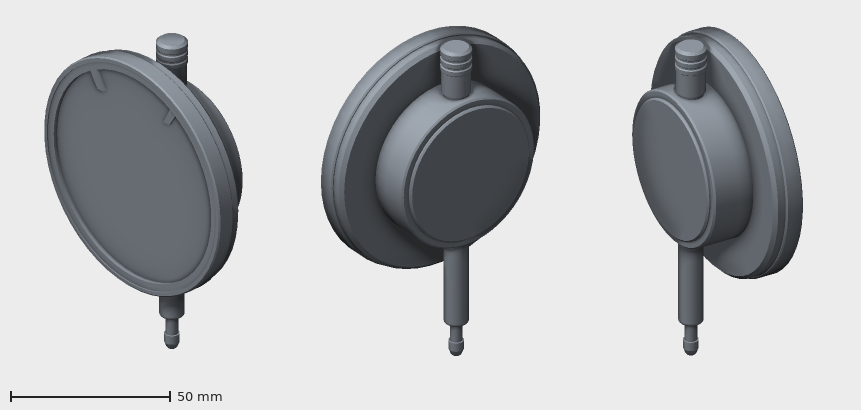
import cadquery as cq
import math


bezel_diameter = 80.5
bezel_back = 6.0
bezel_chamfer = 0.5
flange_diameter = 79.0
flange_back = 10.0
flange_chamfer = 1.2
body_diameter = 52.0
body_back = 24.0
body_chamfer = 0.6
lid_diameter = 46.8
lid_chamfer = 0.6
case_depth = 25.0

glass_seat_diameter = 77.2
glass_seat_depth = 0.5
dial_diameter = 71.9
dial_depth = 1.9

mark_angle = 30.2
mark_width_angle = 4.5
mark_inner_height = 25.2
left_mark_depth = glass_seat_depth
right_mark_depth = 1.1

plunger_y = (flange_back + case_depth) / 2
crown_top = 43.0
overall_height = 112.0
tip_bottom = crown_top - overall_height

crown_bottom = 27.0
crown_radius = 4.7
crown_neck_radius = 4.1
ring_radius = 5.0
ring_count = 3
ring_pitch = 2.7
ring_height = 1.5
ring_slope = ring_radius - crown_radius
top_ring_bottom = 40.4
crown_chamfer_width = 1.0
crown_chamfer_height = 0.8

stem_radius = 4.0
stem_bottom = -56.9
stem_fillet = 1.2
spindle_radius = 2.0
spindle_bottom = -62.6
groove_radius = 1.9
collar_radius = 2.5
collar_top = -63.3
collar_bottom = -66.3
point_radius = 1.8
point_top = -68.0


def disc(diameter, front, back):
    """Disc about the dial axis between two depths."""
    return (
        cq.Workplane("XZ", origin=(0, front, 0))
        .circle(diameter / 2)
        .extrude(front - back)
    )


def make_case():
    bezel = disc(bezel_diameter, 0, bezel_back).edges().chamfer(bezel_chamfer)
    flange = disc(flange_diameter, bezel_chamfer, flange_back).faces(">Y").chamfer(flange_chamfer)
    body = disc(body_diameter, bezel_back, body_back).faces(">Y").chamfer(body_chamfer)
    lid = disc(lid_diameter, bezel_back, case_depth).faces(">Y").chamfer(lid_chamfer)
    return bezel.union(flange).union(body).union(lid)


def make_dial_recess():
    seat = disc(glass_seat_diameter, 0, glass_seat_depth)
    return seat.union(disc(dial_diameter, 0, dial_depth))


def make_mark(side, front):
    """Radial bar standing on the dial up to the depth front; side is -1 (left) or 1 (right)."""
    reach = (dial_diameter + glass_seat_diameter) / 4
    corners = []
    for edge in (-0.5, 0.5):
        angle = math.radians(mark_angle + edge * mark_width_angle)
        inner = (side * mark_inner_height * math.tan(angle), mark_inner_height)
        outer = (side * reach * math.sin(angle), reach * math.cos(angle))
        corners.extend([inner, outer] if edge < 0 else [outer, inner])
    return (
        cq.Workplane("XZ", origin=(0, front, 0))
        .polyline(corners)
        .close()
        .extrude(front - bezel_back)
    )


def revolve_about_plunger(profile):
    """Close a half profile of (radius, height) and turn it about the plunger axis."""
    return profile.close().revolve(360, (0, 0), (0, 1))


def plunger_sketch():
    return cq.Workplane("XZ", origin=(0, plunger_y, 0))


def make_crown():
    outline = [
        (0, 0),
        (crown_neck_radius, 0),
        (crown_neck_radius, crown_bottom),
        (crown_radius, crown_bottom),
    ]
    for index in range(ring_count):
        bottom = top_ring_bottom + (index - ring_count + 1) * ring_pitch
        outline.append((crown_radius, bottom - ring_slope))
        outline.append((ring_radius, bottom))
        if index < ring_count - 1:
            outline.append((ring_radius, bottom + ring_height))
            outline.append((crown_radius, bottom + ring_height + ring_slope))
    outline.append((ring_radius, crown_top - crown_chamfer_height))
    outline.append((ring_radius - crown_chamfer_width, crown_top))
    outline.append((0, crown_top))
    return revolve_about_plunger(plunger_sketch().polyline(outline))


def make_plunger():
    profile = (
        plunger_sketch()
        .moveTo(0, 0)
        .lineTo(stem_radius, 0)
        .lineTo(stem_radius, stem_bottom + stem_fillet)
        .radiusArc((stem_radius - stem_fillet, stem_bottom), stem_fillet)
        .lineTo(spindle_radius, stem_bottom)
        .lineTo(spindle_radius, spindle_bottom)
        .lineTo(groove_radius, spindle_bottom)
        .lineTo(groove_radius, collar_top)
        .lineTo(collar_radius, collar_top)
        .lineTo(collar_radius, collar_bottom)
        .lineTo(point_radius, point_top)
    )
    cap_height = point_top - tip_bottom
    ball_radius = (point_radius**2 + cap_height**2) / (2 * cap_height)
    profile = profile.radiusArc((0, tip_bottom), ball_radius)
    return revolve_about_plunger(profile)


result = make_case().cut(make_dial_recess())
result = result.union(make_mark(-1, left_mark_depth)).union(make_mark(1, right_mark_depth))
result = result.union(make_crown()).union(make_plunger())